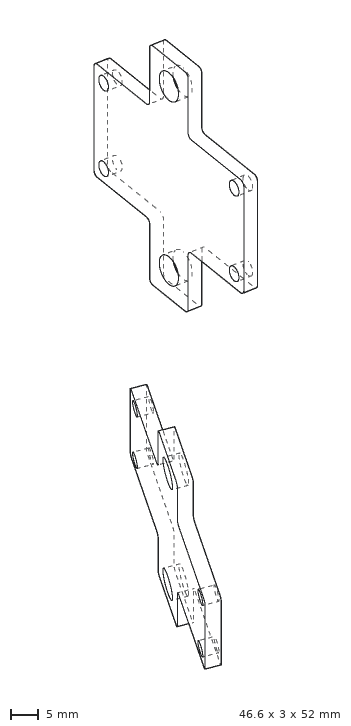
import cadquery as cq

total_height = 52.0
plate_width = 46.65
plate_height = 24.6
tab_width = 12.0
thickness = 3.0
corner_radius = 1.0

tab_hole_diameter = 6.0
tab_hole_spacing = 40.0
plate_hole_diameter = 3.0
plate_hole_inset = 3.0
plate_hole_spacing_x = plate_width - 2 * plate_hole_inset
plate_hole_spacing_z = plate_height - 2 * plate_hole_inset


def centred_block(width, height):
    """Flat block in the XZ plane, centred on the origin."""
    return cq.Workplane("XY").box(width, thickness, height)


def holes(spacing_x, spacing_z, count_x, count_z, diameter):
    """Grid of cylinders running through the thickness."""
    return (
        cq.Workplane("XZ", origin=(0, thickness / 2, 0))
        .rarray(spacing_x, spacing_z, count_x, count_z)
        .circle(diameter / 2)
        .extrude(thickness)
    )


body = centred_block(plate_width, plate_height)
tabs = centred_block(tab_width, total_height)
cross = body.union(tabs)

cross = cross.edges("|Y").fillet(corner_radius)

tab_holes = holes(tab_width, tab_hole_spacing, 1, 2, tab_hole_diameter)
plate_holes = holes(plate_hole_spacing_x, plate_hole_spacing_z, 2, 2, plate_hole_diameter)

result = cross.cut(tab_holes).cut(plate_holes)